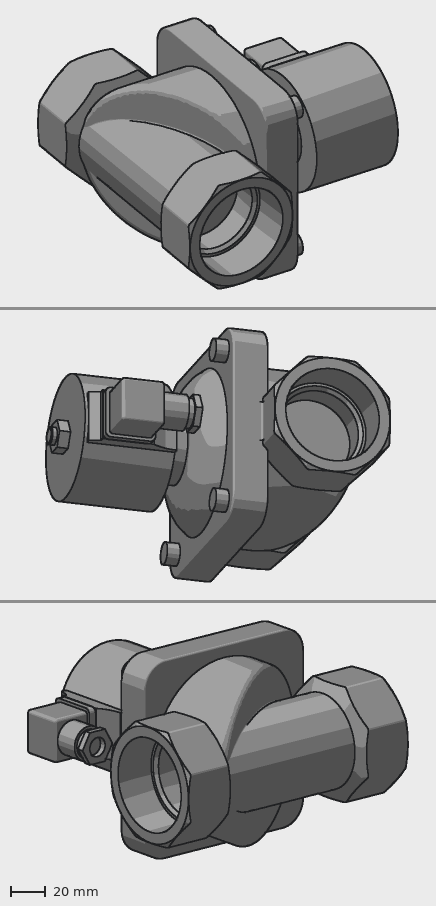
import cadquery as cq
import math


length = 165.0
socket_flats = 69.8
half_corner_angle = 180 / 8
socket_length = 35.0
socket_corner_radius = 3.0
end_circle_radius = 34.7
chamfer_angle = 30
pipe_radius = 28.8
thread_radius = 28.3
thread_depth = 24.8
seat_radius = 26.5
passage_radius = 24.3
passage_depth = 43.2

body_radius = 52.5
body_slope = 30
body_edge_radius = 4.9
body_blend_radius = 0.9

flange_size = 120.0
flange_bottom = 31.5
flange_top = 53.0
flange_corner_radius = 15.5
flange_edge_radius = 1.3
flange_blend_radius = 1.5
screw_offset = 46.0
screw_radius = 6.7
screw_top = 60.7

dome_top = 67.5
dome_flat_radius = 23.4
dome_round_radius = 30.0
neck_radius = 20.5

coil_radius = 37.0
coil_bottom = 79.7
coil_top = 135.0
nut_flats = 17.0
nut_top = 141.7
stud_radius = 5.2
stud_chamfer = 0.7
stud_top = 180 - socket_flats / 2

bracket_width = 29.9
bracket_face = -42.8
bracket_top = 132.8
bracket_foot = -37.6
bracket_curve_middle = (-39.0, 88.2)
shoulder_inner = -39.2
bracket_head = -37.3
shoulder_high = 126.2
shoulder_low = 95.2
gasket_face = -47.5
gasket_bottom = 95.8
gasket_width = 30.5
gasket_top = 126.0
gasket_corner_radius = 3.2
housing_face = -71.5
housing_bottom = 97.5
housing_top = 123.5
housing_width = 26.5
housing_edge_radius = 2.0

gland_x = -59.2
gland_radius = 10.6
gland_bottom = 82.5
gland_neck_radius = 8.8
gland_nut_flats = 19.5
gland_nut_top = 78.7
gland_nut_bottom = 74.5
cable_hole_radius = 5.8


def plane_at(y, x=0):
    """Workplane normal to the stem axis, with local axes X and Z."""
    return cq.Workplane("XZ", origin=(x, y, 0))


def cylinder(radius, bottom, top, x=0):
    return plane_at(bottom, x).circle(radius).extrude(bottom - top)


def hexagon(flats, bottom, top, x=0):
    """Hexagonal prism along Y, with corners pointing along X."""
    corner_diameter = flats / math.cos(math.radians(30))
    return plane_at(bottom, x).polygon(6, corner_diameter).extrude(bottom - top)


def make_socket():
    """Octagonal socket on the -X end, bevelled at both ends."""
    corner_diameter = socket_flats / math.cos(math.radians(half_corner_angle))
    octagon = (
        cq.Workplane("YZ", origin=(-length / 2, 0, 0))
        .transformed(rotate=(0, 0, half_corner_angle))
        .polygon(8, corner_diameter)
        .extrude(socket_length)
        .edges("|X")
        .fillet(socket_corner_radius)
    )
    slope = math.tan(math.radians(chamfer_angle))
    rim_radius = corner_diameter / 2
    outer_bevel = (rim_radius - end_circle_radius) * slope
    inner_bevel = (rim_radius - pipe_radius) * slope
    outer_end = -length / 2
    inner_end = outer_end + socket_length
    envelope = (
        cq.Workplane("XY")
        .moveTo(outer_end, 0)
        .lineTo(outer_end, end_circle_radius)
        .lineTo(outer_end + outer_bevel, rim_radius)
        .lineTo(inner_end - inner_bevel, rim_radius)
        .lineTo(inner_end, pipe_radius)
        .lineTo(inner_end, 0)
        .close()
        .revolve(360, (0, 0, 0), (1, 0, 0))
    )
    return octagon.intersect(envelope)


def make_bore():
    """Stepped blind bore in the -X end, with a tapered seat below the thread."""
    mouth = -length / 2
    step = mouth + thread_depth
    return (
        cq.Workplane("XY")
        .moveTo(mouth, 0)
        .lineTo(mouth, thread_radius)
        .lineTo(step, thread_radius)
        .lineTo(step, seat_radius)
        .lineTo(step + seat_radius - passage_radius, passage_radius)
        .lineTo(mouth + passage_depth, passage_radius)
        .lineTo(mouth + passage_depth, 0)
        .close()
        .revolve(360, (0, 0, 0), (1, 0, 0))
    )


def make_body():
    """Cylinder kept above the sloping plane, with a rounded lower edge."""
    slope = math.tan(math.radians(body_slope))
    reach = 1.1 * body_radius
    kept_side = (
        cq.Workplane("XY")
        .moveTo(-reach, -reach * slope)
        .lineTo(reach, reach * slope)
        .lineTo(reach, flange_top)
        .lineTo(-reach, flange_top)
        .close()
        .extrude(reach, both=True)
    )
    body = cylinder(body_radius, -reach, flange_top).intersect(kept_side)
    return body.faces("<Y").edges().fillet(body_edge_radius)


def make_piped_body():
    """Body crossed by the pipe, blended where the pipe leaves the sloping face."""
    pipe_span = length - 2 * socket_length
    pipe = cq.Workplane("YZ").circle(pipe_radius).extrude(pipe_span / 2, both=True)
    return pipe.union(make_body()).edges("%ELLIPSE").fillet(body_blend_radius)


def make_flange():
    flange = (
        plane_at(flange_bottom)
        .rect(flange_size, flange_size)
        .extrude(flange_bottom - flange_top)
        .edges("|Y")
        .fillet(flange_corner_radius)
        .faces("<Y or >Y")
        .edges()
        .fillet(flange_edge_radius)
    )
    for x in (-screw_offset, screw_offset):
        for z in (-screw_offset, screw_offset):
            screw = cylinder(screw_radius, (flange_bottom + flange_top) / 2, screw_top)
            flange = flange.union(screw.translate((x, 0, z)))
    return flange


def make_bonnet():
    """Dome with a flat crown and a rounded shoulder, topped by the neck."""
    round_height = dome_top - dome_round_radius
    diagonal = dome_round_radius * math.sqrt(0.5)
    dome = (
        cq.Workplane("XY")
        .moveTo(0, round_height)
        .lineTo(dome_flat_radius + dome_round_radius, round_height)
        .threePointArc(
            (dome_flat_radius + diagonal, round_height + diagonal),
            (dome_flat_radius, dome_top),
        )
        .lineTo(0, dome_top)
        .close()
        .revolve(360, (0, 0, 0), (0, 1, 0))
    )
    return dome.union(cylinder(neck_radius, flange_top, coil_bottom))


def make_coil():
    coil = cylinder(coil_radius, coil_bottom, coil_top)
    nut = hexagon(nut_flats, coil_top, nut_top)
    stud = cylinder(stud_radius, coil_top, stud_top).faces(">Y").chamfer(stud_chamfer)
    return coil.union(nut).union(stud)


def make_bracket():
    """Block that joins the round coil to the flat connector face."""
    return (
        cq.Workplane("XY")
        .moveTo(0, coil_bottom)
        .lineTo(bracket_foot, coil_bottom)
        .threePointArc(bracket_curve_middle, (bracket_face, shoulder_low))
        .lineTo(bracket_face, shoulder_high)
        .lineTo(shoulder_inner, shoulder_high)
        .lineTo(bracket_head, bracket_top)
        .lineTo(0, bracket_top)
        .close()
        .extrude(bracket_width / 2, both=True)
    )


def side_block(outer_face, inner_face, bottom, top, width):
    """Box centred on Z = 0, given its X and Y limits."""
    box = cq.Workplane("XY").box(inner_face - outer_face, top - bottom, width)
    return box.translate(((inner_face + outer_face) / 2, (top + bottom) / 2, 0))


def make_connector():
    gasket = side_block(gasket_face, bracket_face, gasket_bottom, gasket_top, gasket_width)
    gasket = gasket.edges("|X").fillet(gasket_corner_radius)
    housing = side_block(housing_face, gasket_face, housing_bottom, housing_top, housing_width)
    housing = housing.edges("|X or <X").fillet(housing_edge_radius)
    return gasket.union(housing)


def make_gland():
    """Cable outlet with its hexagonal nut and cable hole."""
    barrel = cylinder(gland_radius, gland_bottom, housing_bottom + housing_edge_radius, gland_x)
    neck = cylinder(gland_neck_radius, gland_nut_top, gland_bottom, gland_x)
    nut = hexagon(gland_nut_flats, gland_nut_bottom, gland_nut_top, gland_x)
    hole = cylinder(cable_hole_radius, gland_nut_bottom, gland_nut_top, gland_x)
    return barrel.union(neck).union(nut).cut(hole)


def make_flange_blend():
    """Concave strip where the socket's top facet meets the -X side of the flange."""
    side = -flange_size / 2
    facet = socket_flats / 2
    facet_half_width = (facet - socket_corner_radius) * math.tan(math.radians(half_corner_angle))
    blend_centre = (side - flange_blend_radius, facet + flange_blend_radius)
    nearest = flange_blend_radius * math.sqrt(0.5)
    return (
        cq.Workplane("XY")
        .moveTo(side, facet)
        .lineTo(side, facet + flange_blend_radius)
        .threePointArc(
            (blend_centre[0] + nearest, blend_centre[1] - nearest),
            (side - flange_blend_radius, facet),
        )
        .close()
        .extrude(facet_half_width - flange_blend_radius, both=True)
    )


def both_ends(shape):
    """The shape together with its mirror image at the other pipe end."""
    return shape.union(shape.mirror("YZ"))


casting = (
    make_piped_body()
    .union(both_ends(make_socket()))
    .union(make_flange())
    .union(both_ends(make_flange_blend()))
    .cut(both_ends(make_bore()))
)

result = (
    casting.union(make_bonnet())
    .union(make_coil())
    .union(make_bracket())
    .union(make_connector())
    .union(make_gland())
)